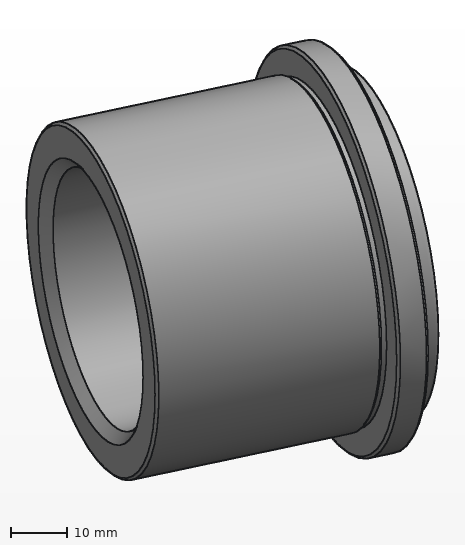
import cadquery as cq

flange_diameter = 75.0
body_diameter = 65.0
bore_diameter = 48.0
length = 54.0

flange_thickness = 6.0
spigot_length = 4.0
flange_back = length - spigot_length
flange_front = flange_back - flange_thickness

groove_floor_width = 1.0
groove_depth = 0.5

sleeve_chamfer = 0.5
flange_chamfer = 0.5
spigot_fillet = 1.0
bore_chamfer = 2.0

flange_radius = flange_diameter / 2
body_radius = body_diameter / 2
bore_radius = bore_diameter / 2
groove_radius = body_radius - groove_depth
groove_start = flange_front - groove_floor_width
bore_mouth_radius = bore_radius + bore_chamfer


def make_bushing():
    """Revolve the half section (radius, axial position) about the Y axis."""
    half_section = [
        (bore_radius, bore_chamfer),
        (bore_mouth_radius, 0),
        (body_radius - sleeve_chamfer, 0),
        (body_radius, sleeve_chamfer),
        (body_radius, groove_start - groove_depth),
        (groove_radius, groove_start),
        (groove_radius, flange_front),
        (flange_radius - flange_chamfer, flange_front),
        (flange_radius, flange_front + flange_chamfer),
        (flange_radius, flange_back - flange_chamfer),
        (flange_radius - flange_chamfer, flange_back),
        (body_radius, flange_back),
        (body_radius, length),
        (bore_radius, length),
    ]
    return cq.Workplane("XY").polyline(half_section).close().revolve(360, (0, 0, 0), (0, 1, 0))


def round_spigot_edge(bushing):
    """Round the outer edge of the back face."""
    outer_edge = cq.selectors.RadiusNthSelector(-1)
    return bushing.faces(">Y").edges(outer_edge).fillet(spigot_fillet)


result = round_spigot_edge(make_bushing())